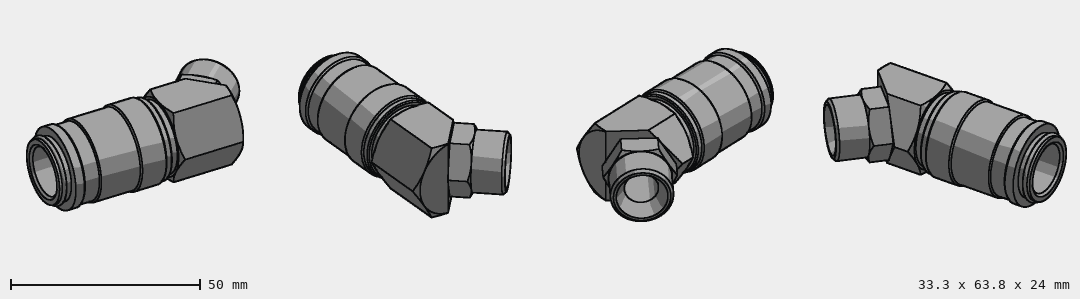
import cadquery as cq
import math

overall_length = 63.8

stub_radius = 9.05
bead_radius = 0.65
bead_center = 1.45
bead_center_radius = stub_radius
flange_start = 3.6
flange_chamfer_start = 6.1
groove_start = 6.65
groove_end = 10.9
groove_radius = 11.05
sleeve_radius = 11.55
sleeve_chamfer_end = 11.2
collar_start = 22.9
collar_end = 30.85
collar_radius = 12.0
collar_chamfer = 0.45
sleeve_end = 32.65
sleeve_end_chamfer = 0.4
spigot_radius = 10.25

hex_start = 34.7
hex_end = 54.15
hex_flats = 22.05
hex_chamfer_angle = 30
axes_crossing = 43.25
branch_angle = 45
branch_face_distance = 6.6
cutter_size = 63.8

branch_hex_flats = 16.95
branch_hex_length = 6.0
nipple_radius = 8.35
nipple_chamfer = 0.75
branch_hex_end = branch_face_distance + branch_hex_length

branch_rise = overall_length - axes_crossing
rim_rise = (nipple_radius - nipple_chamfer) * math.sin(math.radians(branch_angle))
branch_end = (branch_rise - rim_rise) / math.cos(math.radians(branch_angle))

socket_radius = 6.9
socket_mouth_radius = 7.6
socket_depth = 22.95
passage_radius = 4.7
passage_end = 49.7
branch_bore_radius = 4.5
cone_mouth_radius = 6.8
cone_depth = 4.1


def cylinder(radius, start, end):
    """Cylinder along Y between two positions."""
    return cq.Workplane("XZ", origin=(0, start, 0)).circle(radius).extrude(start - end)


def revolve_about_y(points):
    """Revolve an outline of (radius, Y) points about Y."""
    return cq.Workplane("XY").polyline(points).close().revolve(360, (0, 0, 0), (0, 1, 0))


def hexagon(flats, start, end, chamfer_start):
    """Hexagonal prism along Y, corners in X, with turned end chamfers."""
    corner_radius = flats / 2 / math.cos(math.radians(30))
    prism = cq.Workplane("XZ", origin=(0, start, 0)).polygon(6, 2 * corner_radius).extrude(start - end)
    chamfer = (corner_radius - flats / 2) * math.tan(math.radians(hex_chamfer_angle))
    start_points = [(0, start), (corner_radius, start)]
    if chamfer_start:
        start_points = [(0, start), (flats / 2, start), (corner_radius, start + chamfer)]
    end_points = [(corner_radius, end - chamfer), (flats / 2, end), (0, end)]
    return prism.intersect(revolve_about_y(start_points + end_points))


def place_on_branch(shape):
    """Turn a shape built along Y onto the branch axis, Y = 0 at the axes crossing."""
    return shape.rotate((0, 0, 0), (0, 0, 1), branch_angle).translate((0, axes_crossing, 0))


def coupling_body():
    body = revolve_about_y([
        (0, 0),
        (stub_radius, 0),
        (stub_radius, flange_start),
        (sleeve_radius, flange_start),
        (sleeve_radius, flange_chamfer_start),
        (groove_radius, groove_start),
        (groove_radius, groove_end),
        (sleeve_radius, sleeve_chamfer_end),
        (sleeve_radius, collar_start),
        (collar_radius, collar_start + collar_chamfer),
        (collar_radius, collar_end - collar_chamfer),
        (sleeve_radius, collar_end),
        (sleeve_radius, sleeve_end - sleeve_end_chamfer),
        (sleeve_radius - sleeve_end_chamfer, sleeve_end),
        (spigot_radius, sleeve_end),
        (spigot_radius, hex_start),
        (0, hex_start),
    ])
    bead = (
        cq.Workplane("XY")
        .center(bead_center_radius, bead_center)
        .circle(bead_radius)
        .revolve(360, (-bead_center_radius, 0, 0), (-bead_center_radius, 1, 0))
    )
    return body.union(bead)


def sloped_hexagon():
    slope_cutter = cq.Workplane("XY").box(cutter_size, cutter_size, cutter_size)
    slope_cutter = slope_cutter.translate((0, branch_face_distance + cutter_size / 2, 0))
    block = hexagon(hex_flats, hex_start, hex_end, chamfer_start=True)
    return block.cut(place_on_branch(slope_cutter))


def branch():
    nut = hexagon(branch_hex_flats, branch_face_distance, branch_hex_end, chamfer_start=False)
    nipple = cylinder(nipple_radius, branch_face_distance, branch_end)
    nipple = nipple.faces(">Y").chamfer(nipple_chamfer)
    return place_on_branch(nut.union(nipple))


def main_passage():
    mouth_chamfer = socket_mouth_radius - socket_radius
    return revolve_about_y([
        (0, 0),
        (socket_mouth_radius, 0),
        (socket_radius, mouth_chamfer),
        (socket_radius, socket_depth),
        (passage_radius, socket_depth),
        (passage_radius, passage_end),
        (0, passage_end),
    ])


def branch_passage():
    bore = revolve_about_y([
        (0, 0),
        (branch_bore_radius, 0),
        (branch_bore_radius, branch_end - cone_depth),
        (cone_mouth_radius, branch_end),
        (0, branch_end),
    ])
    return place_on_branch(bore)


result = coupling_body().union(sloped_hexagon()).union(branch())
result = result.cut(main_passage()).cut(branch_passage())